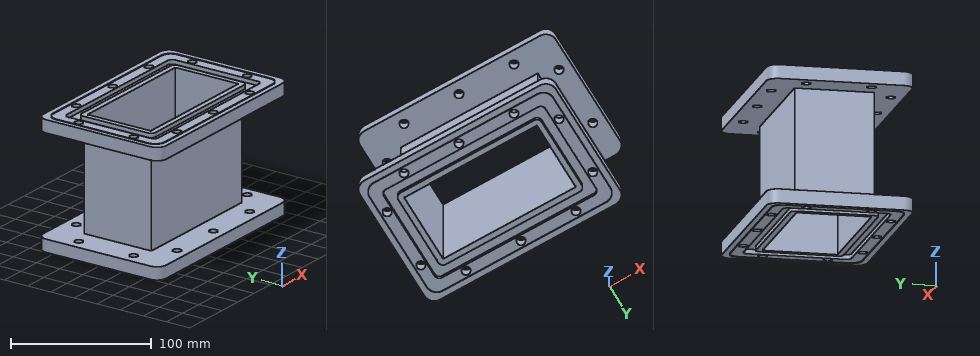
import cadquery as cq

flange_length = 161.1
flange_width = 106.3
total_height = 101.7
flange_thickness = 10.3
flange_corner_radius = 8.2
bore_length = 109.2
bore_width = 54.6
tube_wall = 1.8

rim_width = 5.0
recess_depth = 0.5
recess_corner_radius = 8.2
groove_outer_length = 132.9
groove_gap = 7.4
groove_outer_width = 78.6
groove_depth = 3.4
groove_corner_radius = 3.9

hole_diameter = 6.5
long_side_hole_x = 45.3
long_side_hole_y = 43.5
short_side_hole_x = 70.7
short_side_hole_y = 23.7


def rounded_block(length, width, height, radius, base_z):
    """Block centred on the Z axis with rounded vertical corners."""
    block = cq.Workplane("XY").workplane(offset=base_z).rect(length, width).extrude(height)
    return block.edges("|Z").fillet(radius)


def bolt_points():
    points = []
    for side in (-1, 1):
        for x in (-long_side_hole_x, 0, long_side_hole_x):
            points.append((x, side * long_side_hole_y))
        for y in (-short_side_hole_y, short_side_hole_y):
            points.append((side * short_side_hole_x, y))
    return points


def upper_flange():
    """Flange whose mating face is the top of the part."""
    top_z = total_height / 2
    flange = rounded_block(
        flange_length, flange_width, flange_thickness, flange_corner_radius, top_z - flange_thickness
    )
    recess = rounded_block(
        flange_length - 2 * rim_width,
        flange_width - 2 * rim_width,
        recess_depth,
        recess_corner_radius,
        top_z - recess_depth,
    )
    groove_floor_z = top_z - recess_depth - groove_depth
    groove = rounded_block(
        groove_outer_length, groove_outer_width, groove_depth, groove_corner_radius, groove_floor_z
    )
    land = rounded_block(
        groove_outer_length - 2 * groove_gap,
        groove_outer_width - 2 * groove_gap,
        groove_depth,
        groove_corner_radius,
        groove_floor_z,
    )
    holes = (
        cq.Workplane("XY")
        .workplane(offset=top_z - flange_thickness)
        .pushPoints(bolt_points())
        .circle(hole_diameter / 2)
        .extrude(flange_thickness)
    )
    return flange.cut(recess).cut(groove).union(land).cut(holes)


tube_height = total_height - 2 * flange_thickness
tube = cq.Workplane("XY").box(bore_length + 2 * tube_wall, bore_width + 2 * tube_wall, tube_height)
flange = upper_flange()
body = tube.union(flange).union(flange.mirror("XY"))

bore = cq.Workplane("XY").box(bore_length, bore_width, total_height)
result = body.cut(bore)